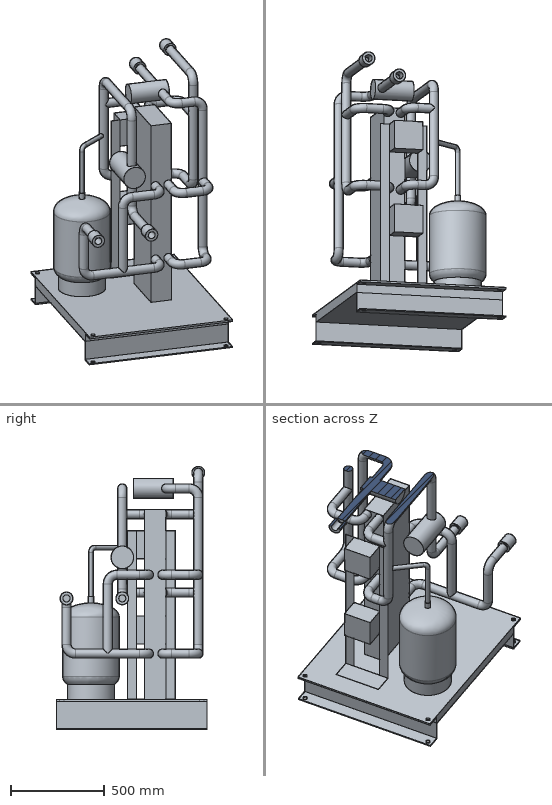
import cadquery as cq
import math


overall_height = 1407

base_length = 1003.0
base_width = 806.0
base_top = 160.0
plate_thickness = 10.0
deck_depth = 53.0
deck_inset = 73.0
foot_sheet = 5.0
foot_setback = 4.0
bolt_hole_diameter = 23.0
bolt_hole_inset = 28.0

exchanger_left = -165.0
exchanger_length = 288.0
exchanger_right = exchanger_left + exchanger_length
exchanger_width = 115.0
exchanger_y = 125.0
exchanger_top = 1176.0

tank_x = -190.0
tank_y = -218.0
tank_radius = 152.0
tank_head_depth = tank_radius / 2
tank_skirt_radius = 127.0
tank_bottom = 283.0
tank_top = 600.0
nozzle_diameter = 31.0
nozzle_top = 710.0

pipe_diameter = 49.0
small_pipe_diameter = 25.0
coupling_diameter = 69.0
coupling_length = 75.0
coupling_bore = 38.0

outlet_z = overall_height - coupling_diameter / 2
inlet_z = 1288.0
top_port_z = 1150.0
left_low_port_z = 731.0
right_high_port_z = 827.0
right_low_port_z = 405.0
service_z = 700.0
tank_pipe_z = 972.0

water_port_y = 165.0
refrigerant_port_y = 91.0
water_back_y = 356.0
outlet_riser_x = -30.0
outlet_branch_x = -248.0
outlet_end_x = -500.0
inlet_y = 184.0
inlet_riser_x = 131.0
inlet_end_x = -494.0
inlet_high_loop_x = 270.0
discharge_y = -50.0
discharge_riser_x = -325.0
discharge_drop_x = 155.0
discharge_end_x = 494.0
suction_x = 239.0
suction_branch_y = -128.0
suction_end_y = -349.0
suction_end_x = 488.0

inlet_silencer_radius = 53.0
inlet_silencer_x = -83.0
inlet_silencer_front = 8.0
inlet_silencer_length = 214.0
discharge_silencer_radius = 60.0
discharge_silencer_left = -44.0
discharge_silencer_length = 246.0
discharge_silencer_z = 920.0

stand_sheet = 1.0
stand_back_x = -279.0
stand_depth = 107.0
stand_front_y = -24.0
stand_width = 257.0
stand_top = 1063.0
post_width = 50.0
control_box_height = 152.0
control_box_pitch = 456.0
control_box_tops = [stand_top, stand_top - control_box_pitch]


def block(x, y, z, length, width, height):
    """Box with its lowest corner at (x, y, z)."""
    return cq.Workplane("XY").box(length, width, height, centered=False).translate((x, y, z))


def rod(start, direction, length, diameter):
    """Solid cylinder from a start point along a direction."""
    return cq.Workplane(
        cq.Solid.makeCylinder(diameter / 2, length, cq.Vector(*start), cq.Vector(*direction))
    )


def pipe(corners, diameter=pipe_diameter):
    """Round pipe through the corners, each bend one diameter in radius and 90 degrees."""
    points = [cq.Vector(*corner) for corner in corners]
    edges = []
    start = points[0]
    for before, corner, after in zip(points, points[1:], points[2:]):
        arriving = (corner - before).normalized()
        leaving = (after - corner).normalized()
        bend_start = corner - arriving * diameter
        bend_end = corner + leaving * diameter
        bend_middle = corner + (leaving - arriving) * (diameter * (1 - math.sqrt(0.5)))
        edges.append(cq.Edge.makeLine(start, bend_start))
        edges.append(cq.Edge.makeThreePointArc(bend_start, bend_middle, bend_end))
        start = bend_end
    edges.append(cq.Edge.makeLine(start, points[-1]))
    section = cq.Workplane(cq.Plane(origin=points[0], normal=points[1] - points[0]))
    return section.circle(diameter / 2).sweep(cq.Workplane(cq.Wire.assembleEdges(edges)))


def make_base():
    plate_bottom = base_top - plate_thickness
    plate = block(
        -base_length / 2, -base_width / 2, plate_bottom, base_length, base_width, plate_thickness
    )
    deck_half_length = base_length / 2 - deck_inset
    deck_bottom = base_top - deck_depth
    base = plate.union(
        block(
            -deck_half_length, -base_width / 2, deck_bottom,
            2 * deck_half_length, base_width, plate_bottom - deck_bottom,
        )
    )
    toe_x = base_length / 2 - foot_setback
    foot_outline = [
        (deck_half_length - foot_sheet, deck_bottom),
        (deck_half_length - foot_sheet, 0),
        (toe_x, 0),
        (toe_x, foot_sheet),
        (deck_half_length, foot_sheet),
        (deck_half_length, deck_bottom),
    ]
    foot = cq.Workplane("XZ").polyline(foot_outline).close().extrude(base_width / 2, both=True)
    base = base.union(foot).union(foot.mirror("YZ"))
    bolt_holes = (
        cq.Workplane("XY")
        .rect(
            base_length - 2 * bolt_hole_inset, base_width - 2 * bolt_hole_inset, forConstruction=True
        )
        .vertices()
        .circle(bolt_hole_diameter / 2)
        .extrude(base_top)
    )
    return base.cut(bolt_holes)


def make_exchanger():
    return block(
        exchanger_left, exchanger_y - exchanger_width / 2, base_top,
        exchanger_length, exchanger_width, exchanger_top - base_top,
    )


def make_tank():
    """Turned tank on its skirt; the lower head is cut off where it meets the skirt."""
    skirt_angle = math.acos(tank_skirt_radius / tank_radius)
    skirt_top = tank_bottom - tank_head_depth * math.sin(skirt_angle)
    tank = (
        cq.Workplane("XZ")
        .moveTo(0, base_top)
        .lineTo(tank_skirt_radius, base_top)
        .lineTo(tank_skirt_radius, skirt_top)
        .ellipseArc(tank_radius, tank_head_depth, -math.degrees(skirt_angle), 0)
        .lineTo(tank_radius, tank_top)
        .ellipseArc(tank_radius, tank_head_depth, 0, 90)
        .close()
        .revolve(360, (0, 0, 0), (0, 1, 0))
        .translate((tank_x, tank_y, 0))
    )
    return tank.union(
        rod((tank_x, tank_y, tank_top), (0, 0, 1), nozzle_top - tank_top, nozzle_diameter)
    )


def outlet_pipes():
    """Riser behind the exchanger, fed from two ports on its left side."""
    main = pipe([
        (outlet_end_x, water_back_y, outlet_z),
        (outlet_riser_x, water_back_y, outlet_z),
        (outlet_riser_x, water_back_y, left_low_port_z),
        (outlet_branch_x, water_back_y, left_low_port_z),
        (outlet_branch_x, water_port_y, left_low_port_z),
        (exchanger_left, water_port_y, left_low_port_z),
    ])
    branch = pipe([
        (outlet_riser_x, water_back_y, top_port_z),
        (outlet_branch_x, water_back_y, top_port_z),
        (outlet_branch_x, water_port_y, top_port_z),
        (exchanger_left, water_port_y, top_port_z),
    ])
    return [main, branch]


def inlet_pipes():
    """Line through the upper silencer and down to two ports on the exchanger's right side."""
    main = pipe([
        (inlet_end_x, inlet_y, inlet_z),
        (inlet_riser_x, inlet_y, inlet_z),
        (inlet_riser_x, water_back_y, inlet_z),
        (inlet_riser_x, water_back_y, right_low_port_z),
        (suction_x, water_back_y, right_low_port_z),
        (suction_x, water_port_y, right_low_port_z),
        (exchanger_right, water_port_y, right_low_port_z),
    ])
    branch = pipe([
        (inlet_riser_x, water_back_y, right_high_port_z),
        (inlet_high_loop_x, water_back_y, right_high_port_z),
        (inlet_high_loop_x, water_port_y, right_high_port_z),
        (exchanger_right, water_port_y, right_high_port_z),
    ])
    silencer = rod(
        (inlet_silencer_x, inlet_silencer_front, inlet_z),
        (0, 1, 0), inlet_silencer_length, 2 * inlet_silencer_radius,
    )
    return [main, branch, silencer]


def discharge_pipes():
    """Line from the left ports over the exchanger and down through the lower silencer."""
    main = pipe([
        (exchanger_left, refrigerant_port_y, left_low_port_z),
        (discharge_riser_x, refrigerant_port_y, left_low_port_z),
        (discharge_riser_x, discharge_y, left_low_port_z),
        (discharge_riser_x, discharge_y, inlet_z),
        (discharge_drop_x, discharge_y, inlet_z),
        (discharge_drop_x, discharge_y, service_z),
        (discharge_end_x, discharge_y, service_z),
    ])
    branch = pipe([
        (exchanger_left, refrigerant_port_y, top_port_z),
        (discharge_riser_x, refrigerant_port_y, top_port_z),
        (discharge_riser_x, discharge_y, top_port_z),
    ])
    silencer = rod(
        (discharge_silencer_left, discharge_y, discharge_silencer_z),
        (1, 0, 0), discharge_silencer_length, 2 * discharge_silencer_radius,
    )
    tank_pipe = pipe(
        [
            (tank_x, tank_y, tank_top),
            (tank_x, tank_y, tank_pipe_z),
            (discharge_riser_x, discharge_y, tank_pipe_z),
        ],
        small_pipe_diameter,
    )
    return [main, branch, silencer, tank_pipe]


def suction_pipes():
    """Line from the right ports forward and up to its end at the front right."""
    main = pipe([
        (exchanger_right, refrigerant_port_y, right_low_port_z),
        (suction_x, refrigerant_port_y, right_low_port_z),
        (suction_x, suction_end_y, right_low_port_z),
        (suction_x, suction_end_y, service_z),
        (suction_end_x, suction_end_y, service_z),
    ])
    branch = pipe([
        (exchanger_right, refrigerant_port_y, right_high_port_z),
        (suction_x, refrigerant_port_y, right_high_port_z),
        (suction_x, suction_branch_y, right_high_port_z),
        (suction_x, suction_branch_y, right_low_port_z),
    ])
    return [main, branch]


def add_couplings(unit):
    """Bored coupling on each open pipe end, pointing from the end back into the pipe."""
    ends = [
        ((outlet_end_x, water_back_y, outlet_z), (1, 0, 0)),
        ((inlet_end_x, inlet_y, inlet_z), (1, 0, 0)),
        ((discharge_end_x, discharge_y, service_z), (-1, 0, 0)),
        ((suction_end_x, suction_end_y, service_z), (-1, 0, 0)),
    ]
    for end, inward in ends:
        unit = unit.union(rod(end, inward, coupling_length, coupling_diameter))
        unit = unit.cut(rod(end, inward, coupling_length, coupling_bore))
    return unit


def make_refrigeration_unit():
    unit = make_base().union(make_exchanger()).union(make_tank())
    for run in outlet_pipes() + inlet_pipes() + discharge_pipes() + suction_pipes():
        unit = unit.union(run)
    return add_couplings(unit)


def make_control_stand():
    """Bent sheet with two posts and two control boxes between them, flush with the sheet's back."""
    stand_left = stand_back_x - stand_depth
    box_y = stand_front_y + post_width
    box_width = stand_width - 2 * post_width
    stand = block(stand_left, stand_front_y, base_top, stand_depth, stand_width, stand_sheet)
    for post_y in (stand_front_y, box_y + box_width):
        stand = stand.union(
            block(
                stand_back_x - stand_sheet, post_y, base_top,
                stand_sheet, post_width, stand_top - base_top,
            )
        )
    for box_top in control_box_tops:
        box_bottom = box_top - control_box_height
        stand = stand.union(
            block(stand_left, box_y, box_bottom, stand_depth, box_width, control_box_height)
        )
    return stand


refrigeration_unit = make_refrigeration_unit().solids().val()
control_stand = make_control_stand().solids().val()

result = cq.Compound.makeCompound([refrigeration_unit, control_stand])